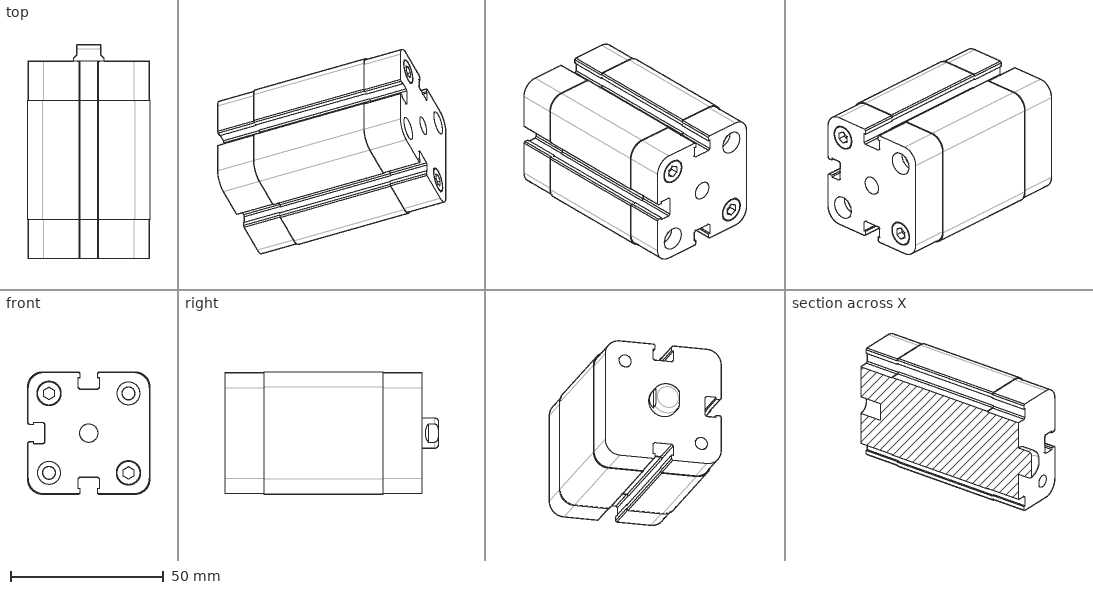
import cadquery as cq
import math


total_length = 70.0
rod_extension = 5.4
housing_length = total_length - rod_extension
cap_length = 12.8
barrel_length = housing_length - 2 * cap_length
barrel_width = 40.1
cap_width = 39.6
corner_radius = 5.0

slot_mouth_width = 5.6
slot_width = 6.9
lip_thickness = 1.75
cap_slot_depth = 5.5
barrel_slot_depth = 5.55
lip_chamfer = 0.45
floor_chamfer = 0.5
slot_angles = (0, 90, 180)

bolt_offset = 13.0
through_hole_diameter = 4.13
counterbore_diameter = 7.5
counterbore_depth = 4.6
screw_recess_diameter = 8.0
screw_head_diameter = 7.5
screw_recess_depth = 4.0
hex_across_flats = 3.5
hex_depth = 2.5

centre_bore_diameter = 6.0
centre_bore_depth = 8.0

rod_diameter = 10.0
rod_tip_radius = 1.4
flats_width = 8.0
flats_length = 3.4


def xz_plane(y):
    """Workplane at the given Y: local x along X, local y along Z, normal along -Y."""
    return cq.Workplane("XZ", origin=(0, y, 0))


def cylinder(diameter, y_start, length, x=0.0, z=0.0):
    """Cylinder along +Y starting at y_start."""
    return xz_plane(y_start).center(x, z).circle(diameter / 2).extrude(-length)


def slot_cutter(outer_half, depth, y_start, length):
    """T-slot cutter for the top (+Z) side of a square section."""
    mouth = slot_mouth_width / 2
    half = slot_width / 2
    lip_z = outer_half - lip_thickness
    floor_z = outer_half - depth
    right_side = [
        (mouth + lip_chamfer, outer_half),
        (mouth, outer_half - lip_chamfer),
        (mouth, lip_z),
        (half, lip_z),
        (half, floor_z + floor_chamfer),
        (half - floor_chamfer, floor_z),
    ]
    left_side = [(-x, z) for x, z in reversed(right_side)]
    return xz_plane(y_start).polyline(right_side + left_side).close().extrude(-length)


def housing_section(width, slot_depth, y_start, length):
    """Rounded square length of housing with its three T-slots."""
    section = xz_plane(y_start).rect(width, width).extrude(-length)
    section = section.edges("|Y").fillet(corner_radius)
    cutter = slot_cutter(width / 2, slot_depth, y_start, length)
    for angle in slot_angles:
        section = section.cut(cutter.rotate((0, 0, 0), (0, 1, 0), -angle))
    return section


def make_housing():
    rear_cap = housing_section(cap_width, cap_slot_depth, 0, cap_length)
    barrel = housing_section(barrel_width, barrel_slot_depth, cap_length, barrel_length)
    front_cap = housing_section(cap_width, cap_slot_depth, cap_length + barrel_length, cap_length)
    return rear_cap.union(barrel).union(front_cap)


def cut_mounting_hole(body, x, z):
    """Counterbored hole through the whole housing."""
    body = body.cut(cylinder(through_hole_diameter, 0, housing_length, x, z))
    return body.cut(cylinder(counterbore_diameter, 0, counterbore_depth, x, z))


def add_screw(body, x, z):
    """Flush socket head screw: a ring gap around the head and a hexagon socket."""
    recess = cylinder(screw_recess_diameter, 0, screw_recess_depth, x, z)
    head = cylinder(screw_head_diameter, 0, screw_recess_depth, x, z)
    hex_across_corners = hex_across_flats / math.cos(math.pi / 6)
    socket = (
        xz_plane(0)
        .center(x, z)
        .transformed(rotate=(0, 0, 90))
        .polygon(6, hex_across_corners)
        .extrude(-hex_depth)
    )
    return body.cut(recess.cut(head)).cut(socket)


def make_rod():
    """Rod end with a rounded tip and two flats facing -X and +X, each run out at 45 degrees."""
    radius = rod_diameter / 2
    rod = cylinder(rod_diameter, housing_length, rod_extension)
    rod = rod.faces(">Y").edges().fillet(rod_tip_radius)
    flat_x = flats_width / 2
    flat_end = total_length - flats_length
    flat_depth = radius - flat_x
    flat_cutter = (
        cq.Workplane("XY")
        .polyline([
            (flat_x, total_length),
            (flat_x, flat_end),
            (radius, flat_end - flat_depth),
            (radius, total_length),
        ])
        .close()
        .extrude(radius, both=True)
    )
    return rod.cut(flat_cutter).cut(flat_cutter.mirror("YZ"))


result = make_housing()
for side in (-1, 1):
    result = cut_mounting_hole(result, side * bolt_offset, side * bolt_offset)
    result = add_screw(result, side * bolt_offset, -side * bolt_offset)
result = result.cut(cylinder(centre_bore_diameter, 0, centre_bore_depth))
result = result.union(make_rod())